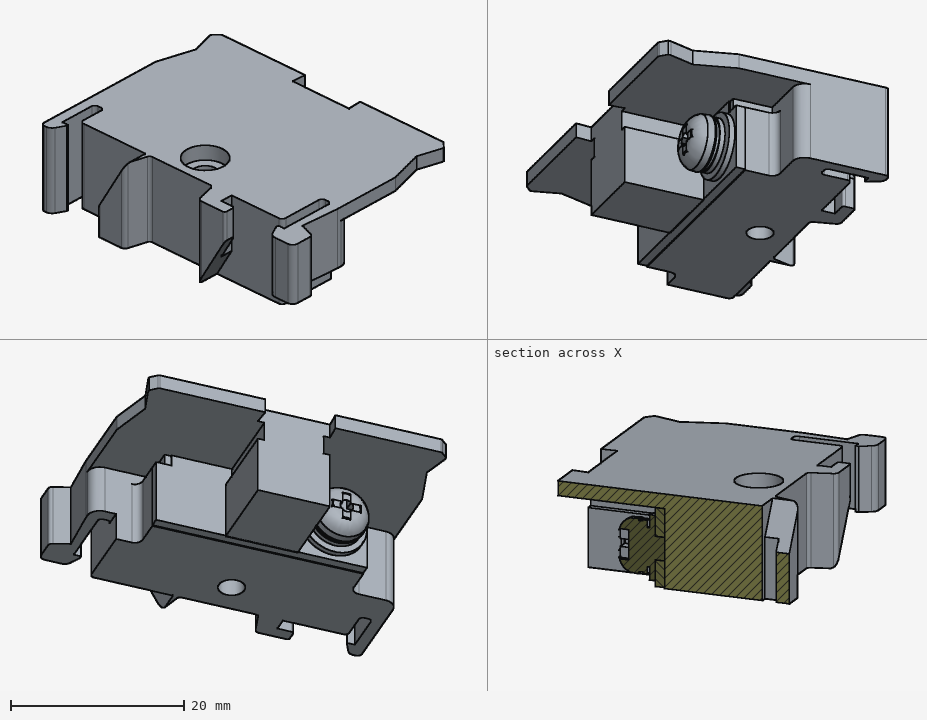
import cadquery as cq
import math


height = 11.5
half_width = 19.0
depth = 29.0

plate_thickness = 1.85
plate_bottom = height - plate_thickness

waist_y = 19.35
neck_x = 17.5
neck_y = 24.55
ear_x = 18.5
ear_low_y = 27.85
ear_high_y = 28.15
ear_top_x = 17.6
ear_round = 0.3
notch_top_half = 4.35
notch_bottom_half = 4.5
notch_y = 27.0

core_half = 16.05
core_front_y = 3.5
core_round = 0.55
shoulder_y = 11.7
shoulder_round = 1.5
middle_half = 13.1
middle_top = 8.25
upper_half = 12
upper_front_y = 16.7
recess_round = 1.0
barrier_half = notch_bottom_half
barrier_step_z = 7.25
barrier_step_depth = 0.8

slot_outer_x = 17.5
slot_round = 0.5
left_slot_end_y = 7.5
right_slot_end_y = 10.15
right_arm_bottom = 3.5
grip_x = 21.0
grip_round = 0.8
grip_bend_y = 9.6
grip_neck_x = 18.65
grip_neck_y = 4.1
grip_top_y = 3.3
hook_bottom_x = 17.55
hook_tip_x = 16.6
hook_tip_y = 1.85
left_hook_top_y = 2.05
right_hook_top_y = 2.25
arm_tip_round = 0.55
hook_round = 1.0

toe_x = 10.1
toe_top_y = 1.75
toe_round = 0.3
foot_bottom_round = 0.65
foot_tip_y = 0.1
foot_outer_x = 8
foot_root_x = 4.95
foot_bottom_x = 5.9
foot_root_round = 0.5
foot_slope_x = 5.7
foot_slope_angle = 60

hole_y = 7.5
hole_diameter = 3.15
counterbore_diameter = 5.7
counterbore_depth = 2

strip_back_y = 15.7
strip_thickness = 1.15
strip_front_y = strip_back_y + strip_thickness
strip_bottom = 0.1
strip_upper_half = 11.2

screw_x = -8.8
screw_z = 4.8
shank_radius = 1.4
washer_radius = 4
washer_thickness = 0.7
neck_radius = 2.4
spring_start = 0.9
spring_end = 1.55
spring_radius = 3.3
groove_radius = 3.1
head_start = 2
head_rim_end = 2.2
head_rim_radius = 3.3
head_side_end = 3.1
head_end = 4.5
head_radius = 3.4
dome_top_radius = 0.8
recess_width = 0.95
recess_length = 3.6
recess_depth = 1.2


def prism(points, bottom, top):
    """Closed outline in plan, extruded from one height to another."""
    return cq.Workplane("XY").workplane(offset=bottom).polyline(points).close().extrude(top - bottom)


def block(x_min, x_max, y_min, y_max, bottom, top):
    corners = [(x_min, y_min), (x_max, y_min), (x_max, y_max), (x_min, y_max)]
    return prism(corners, bottom, top)


def round_corner(body, corner, radius):
    """Round the upright edge that stands over a plan point."""
    box = body.val().BoundingBox()
    target = (corner[0], corner[1], (box.zmin + box.zmax) / 2)
    return body.edges("|Z").edges(cq.selectors.NearestToPointSelector(target)).fillet(radius)


def cover_plate():
    right_half = [
        (core_half, core_front_y),
        (core_half, shoulder_y - shoulder_round),
        (half_width, shoulder_y - shoulder_round),
        (half_width, waist_y),
        (neck_x, neck_y),
        (ear_x, ear_low_y),
        (ear_x, ear_high_y),
        (ear_top_x, depth),
        (notch_top_half, depth),
        (notch_bottom_half, notch_y),
    ]
    left_half = [(-x, y) for x, y in reversed(right_half)]
    plate = prism(right_half + left_half, plate_bottom, height)
    for side in (-1, 1):
        plate = round_corner(plate, (side * ear_top_x, depth), ear_round)
        plate = round_corner(plate, (side * core_half, core_front_y), core_round)
    return plate


def lower_block():
    core = block(-core_half, core_half, core_front_y, shoulder_y, 0, plate_bottom)
    middle = block(-middle_half, middle_half, shoulder_y, strip_front_y, 0, middle_top)
    for side in (-1, 1):
        core = round_corner(core, (side * core_half, core_front_y), core_round)

    barrier_narrow = barrier_half - barrier_step_depth
    barrier = block(-barrier_half, barrier_half, shoulder_y, notch_y, 0, barrier_step_z)
    barrier_top = block(-barrier_narrow, barrier_narrow, shoulder_y, notch_y, barrier_step_z, plate_bottom)
    upper = block(-upper_half, upper_half, shoulder_y, upper_front_y, middle_top, plate_bottom)
    body = core.union(middle).union(upper).union(barrier).union(barrier_top)

    for side in (-1, 1):
        body = body.union(recess_fillet(side))
    return body


def recess_fillet(side):
    """Concave round between the shoulder and the side of the middle block."""
    corner_x = side * middle_half
    outer_x = side * (middle_half + recess_round)
    arc_offset = recess_round * (1 - math.sqrt(0.5))
    arc_mid = (side * (middle_half + arc_offset), shoulder_y + arc_offset)
    return (
        cq.Workplane("XY")
        .moveTo(corner_x, shoulder_y)
        .lineTo(outer_x, shoulder_y)
        .threePointArc(arc_mid, (corner_x, shoulder_y + recess_round))
        .close()
        .extrude(middle_top)
    )


def arm_root(side, bottom):
    """Shoulder that carries an arm below the cover plate, with its large outer round."""
    root = block(
        min(side * core_half, side * half_width),
        max(side * core_half, side * half_width),
        right_slot_end_y,
        shoulder_y,
        bottom,
        plate_bottom,
    )
    return round_corner(root, (side * half_width, shoulder_y), shoulder_round)


def left_arm():
    outline = [
        (-half_width, shoulder_y - shoulder_round),
        (-half_width, 0),
        (-hook_bottom_x, 0),
        (-hook_tip_x, hook_tip_y),
        (-hook_tip_x, left_hook_top_y),
        (-slot_outer_x, left_hook_top_y),
        (-slot_outer_x, left_slot_end_y),
        (-core_half, left_slot_end_y),
        (-core_half, shoulder_y - shoulder_round),
    ]
    arm = prism(outline, 0, height)
    arm = round_corner(arm, (-half_width, 0), arm_tip_round)
    arm = round_corner(arm, (-hook_bottom_x, 0), hook_round)
    arm = round_corner(arm, (-slot_outer_x, left_slot_end_y), slot_round)
    return arm.union(arm_root(-1, 0))


def right_arm():
    outline = [
        (half_width, shoulder_y - shoulder_round),
        (half_width, grip_bend_y),
        (grip_neck_x, grip_neck_y),
        (grip_x, grip_top_y),
        (grip_x, 0),
        (hook_bottom_x, 0),
        (hook_tip_x, hook_tip_y),
        (hook_tip_x, right_hook_top_y),
        (slot_outer_x, right_hook_top_y),
        (slot_outer_x, right_slot_end_y),
        (core_half, right_slot_end_y),
        (core_half, shoulder_y - shoulder_round),
    ]
    arm = prism(outline, right_arm_bottom, height)
    arm = round_corner(arm, (grip_x, 0), grip_round)
    arm = round_corner(arm, (grip_x, grip_top_y), arm_tip_round)
    arm = round_corner(arm, (hook_bottom_x, 0), hook_round)
    arm = round_corner(arm, (slot_outer_x, right_slot_end_y), slot_round)
    return arm.union(arm_root(1, right_arm_bottom))


def rail_foot():
    """Right-hand foot, whose underside is cut to a slope that rises away from the middle."""
    outline = [
        (foot_root_x, core_front_y),
        (foot_bottom_x, foot_tip_y),
        (toe_x, foot_tip_y),
        (toe_x, toe_top_y),
        (foot_outer_x, toe_top_y),
        (foot_outer_x, core_front_y),
    ]
    foot = prism(outline, 0, height)
    foot = round_corner(foot, (foot_bottom_x, foot_tip_y), foot_bottom_round)
    for toe_corner_y in (foot_tip_y, toe_top_y):
        foot = round_corner(foot, (toe_x, toe_corner_y), toe_round)

    slope_run = toe_x - foot_slope_x
    slope_rise = slope_run * math.tan(math.radians(foot_slope_angle))
    under_slope = (
        cq.Workplane("XZ")
        .polyline([(foot_slope_x, 0), (toe_x, 0), (toe_x, slope_rise)])
        .close()
        .extrude(-core_front_y)
    )
    return foot.cut(under_slope)


def mounting_hole():
    bore = cq.Workplane("XY").center(0, hole_y).circle(hole_diameter / 2).extrude(height)
    counterbore = (
        cq.Workplane("XY")
        .workplane(offset=height - counterbore_depth)
        .center(0, hole_y)
        .circle(counterbore_diameter / 2)
        .extrude(counterbore_depth)
    )
    return bore.union(counterbore)


def strip_body(bottom):
    """Flat strip across the housing; above the middle block it is narrower and reaches the plate."""
    lower = block(-middle_half, middle_half, strip_back_y, strip_front_y, bottom, middle_top)
    upper = block(
        -strip_upper_half, strip_upper_half, strip_back_y, strip_front_y, middle_top, plate_bottom
    )
    return lower.union(upper)


def make_housing():
    right_foot = rail_foot()
    left_foot = right_foot.rotate((0, 0, height / 2), (0, 1, height / 2), 180)
    strip_slot = strip_body(0)
    housing = (
        lower_block()
        .union(cover_plate())
        .union(left_arm())
        .union(right_arm())
        .union(right_foot)
        .union(left_foot)
    )
    for side, slot_end_y in [(-1, left_slot_end_y), (1, right_slot_end_y)]:
        housing = round_corner(housing, (side * core_half, slot_end_y), slot_round)
        housing = round_corner(housing, (side * foot_root_x, core_front_y), foot_root_round)
    return housing.cut(strip_slot).cut(mounting_hole())


def make_strip():
    strip = strip_body(strip_bottom)
    screw_hole = (
        cq.Workplane("XZ", origin=(screw_x, strip_back_y, screw_z))
        .circle(shank_radius)
        .extrude(-strip_thickness)
    )
    return strip.cut(screw_hole)


def make_screw():
    """Turned outline of shank, washers and domed head, with a cross recess in the head."""
    dome_mid_angle = math.radians(45)
    dome_height = head_end - head_side_end
    dome_run = head_rim_radius - dome_top_radius
    dome_mid = (
        dome_top_radius + dome_run * math.cos(dome_mid_angle),
        head_side_end + dome_height * math.sin(dome_mid_angle),
    )
    turned = (
        cq.Workplane("XY")
        .moveTo(0, -strip_thickness)
        .lineTo(shank_radius, -strip_thickness)
        .lineTo(shank_radius, 0)
        .lineTo(washer_radius, 0)
        .lineTo(washer_radius, washer_thickness)
        .lineTo(neck_radius, washer_thickness)
        .lineTo(neck_radius, spring_start)
        .lineTo(spring_radius, spring_start)
        .lineTo(spring_radius, spring_end)
        .lineTo(groove_radius, spring_end)
        .lineTo(groove_radius, head_start)
        .lineTo(head_rim_radius, head_start)
        .lineTo(head_radius, head_rim_end)
        .lineTo(head_rim_radius, head_side_end)
        .threePointArc(dome_mid, (dome_top_radius, head_end))
        .lineTo(0, head_end)
        .close()
        .revolve(360, (0, 0, 0), (0, 1, 0))
    )
    head_top = cq.Workplane("XZ", origin=(0, head_end, 0))
    level_arm = head_top.rect(recess_length, recess_width).extrude(recess_depth)
    upright_arm = head_top.rect(recess_width, recess_length).extrude(recess_depth)
    recess = level_arm.union(upright_arm)
    return turned.cut(recess).translate((screw_x, strip_front_y, screw_z))


housing = make_housing()
strip = make_strip()
screw = make_screw()

result = cq.Compound.makeCompound([housing.val(), strip.val(), screw.val()])